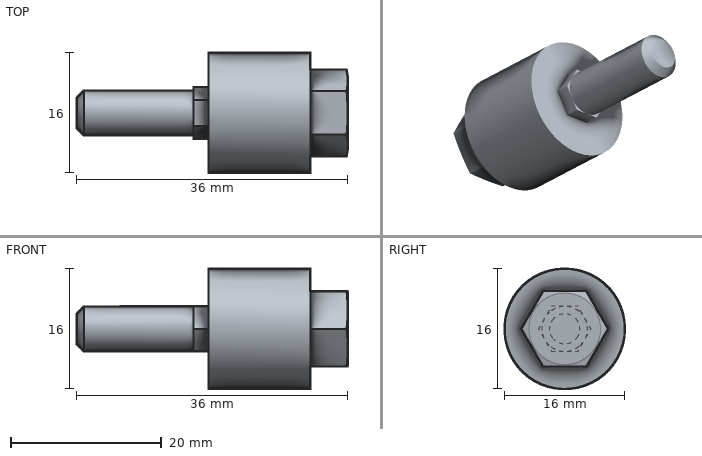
import cadquery as cq
import math

stud_diameter = 6.0
stud_length = 15.5
tip_chamfer = 1.0
collar_across_flats = 6.0
collar_length = 2.0
body_diameter = 16.0
body_length = 13.5
head_across_flats = 10.0
head_length = 5.0
head_end_diameter = 9.5
head_chamfer_angle = 10.0

hexagon_sides = 6
half_side_angle = math.pi / hexagon_sides

collar_start = stud_length
body_start = collar_start + collar_length
head_start = body_start + body_length
head_end = head_start + head_length


def across_corners(across_flats):
    return across_flats / math.cos(half_side_angle)


def cylinder(start, length, diameter):
    return cq.Workplane("YZ", origin=(start, 0, 0)).circle(diameter / 2).extrude(length)


def hexagon(start, length, across_flats):
    """Hexagonal prism along X with flats facing +Z and -Z, corners on the Y axis."""
    profile = cq.Workplane("YZ", origin=(start, 0, 0)).polygon(hexagon_sides, across_corners(across_flats))
    return profile.extrude(length)


def chamfered_head():
    """Hexagonal head whose end is trimmed by a shallow cone around a flat circle."""
    end_radius = head_end_diameter / 2
    corner_radius = across_corners(head_across_flats) / 2
    cone_depth = (corner_radius - end_radius) * math.tan(math.radians(head_chamfer_angle))
    envelope = (
        cq.Workplane("XY")
        .moveTo(head_start, 0)
        .lineTo(head_start, corner_radius)
        .lineTo(head_end - cone_depth, corner_radius)
        .lineTo(head_end, end_radius)
        .lineTo(head_end, 0)
        .close()
        .revolve(360, (0, 0, 0), (1, 0, 0))
    )
    return hexagon(head_start, head_length, head_across_flats).intersect(envelope)


stud = cylinder(0, stud_length, stud_diameter).faces("<X").chamfer(tip_chamfer)
collar = hexagon(collar_start, collar_length, collar_across_flats)
body = cylinder(body_start, body_length, body_diameter)

result = stud.union(collar).union(body).union(chamfered_head())